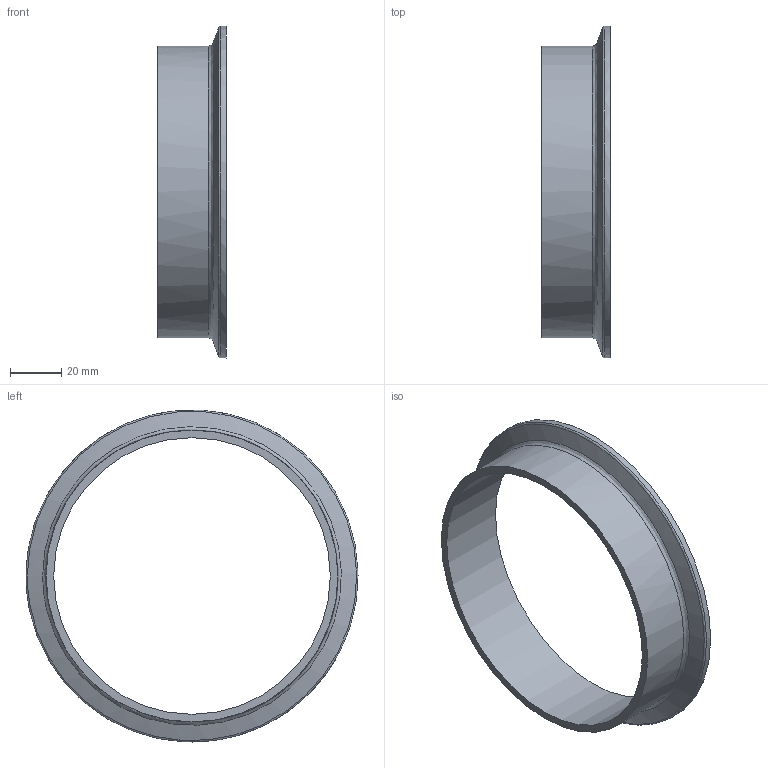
import cadquery as cq
import math

bore_diameter = 108.3
tube_diameter = 114.3
flange_diameter = 130.0
total_length = 27.0
rim_width = 2.85
cone_angle = 20.0
root_radius = 2.0
edge_radius = 0.8

bore_radius = bore_diameter / 2
tube_radius = tube_diameter / 2
flange_radius = flange_diameter / 2

rim_start = total_length - rim_width
cone_run = (flange_radius - tube_radius) * math.tan(math.radians(cone_angle))
cone_start = rim_start - cone_run


def make_ferrule():
    """Revolve the tube and conical-backed flange about X."""
    half_section = (
        cq.Workplane("XY")
        .moveTo(0, bore_radius)
        .lineTo(0, tube_radius)
        .lineTo(cone_start, tube_radius)
        .lineTo(rim_start, flange_radius)
        .lineTo(total_length, flange_radius)
        .lineTo(total_length, bore_radius)
        .close()
    )
    return half_section.revolve(360, (0, 0, 0), (1, 0, 0))


def circle_edge_at(x_position, radius):
    """Select the circular edge of the given radius lying at x_position."""
    reach = 0.1
    return cq.selectors.BoxSelector(
        (x_position - reach, -radius - reach, -radius - reach),
        (x_position + reach, radius + reach, radius + reach),
        boundingbox=True,
    )


ferrule = make_ferrule()
ferrule = ferrule.edges(circle_edge_at(cone_start, tube_radius)).fillet(root_radius)
ferrule = ferrule.edges(circle_edge_at(rim_start, flange_radius)).fillet(edge_radius)

result = ferrule